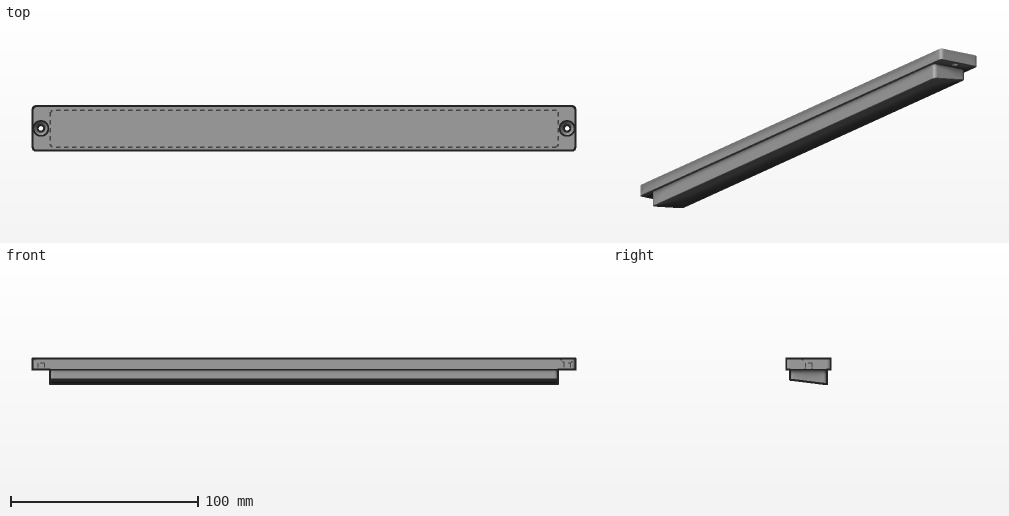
import cadquery as cq
import math

plate_length = 290.0
plate_width = 24.0
plate_thickness = 6.0
plate_corner_radius = 2.0
edge_chamfer = 0.25

total_height = 13.89
rib_end_inset = 9.25
rib_side_inset = 2.0
rib_length = plate_length - 2 * rib_end_inset
rib_width = plate_width - 2 * rib_side_inset
rib_corner_radius = 2.0
underside_angle = 7.0
underside_slope = math.tan(math.radians(underside_angle))
chamfer_trim = edge_chamfer * math.sin(math.radians(underside_angle))
rib_deep_side = total_height - plate_thickness + chamfer_trim
rib_shallow_side = rib_deep_side - rib_width * underside_slope

screw_hole_diameter = 3.33
countersink_diameter = 8.0
countersink_angle = 90.0
screw_end_distance = 4.5
screw_x = plate_length / 2 - screw_end_distance


def make_plate():
    """Rounded plate resting on the Z = 0 plane, chamfered around its top."""
    plate = cq.Workplane("XY").box(
        plate_length, plate_width, plate_thickness, centered=(True, True, False)
    )
    plate = plate.edges("|Z").fillet(plate_corner_radius)
    return plate.faces(">Z").edges().chamfer(edge_chamfer)


def make_rib():
    """Rib hanging below Z = 0, deepest along its +Y side, chamfered around its underside."""
    half_width = rib_width / 2
    profile = [
        (-half_width, 0),
        (half_width, 0),
        (half_width, -rib_deep_side),
        (-half_width, -rib_shallow_side),
    ]
    rib = cq.Workplane("YZ").polyline(profile).close().extrude(rib_length / 2, both=True)
    rib = rib.edges("|Z").fillet(rib_corner_radius)
    return rib.faces("<Z").edges().chamfer(edge_chamfer)


def drill_screw_holes(body):
    """Cut one countersunk through hole at each end of the plate."""
    hole_centers = [(-screw_x, 0), (screw_x, 0)]
    return (
        body.faces(">Z")
        .workplane(origin=(0, 0, plate_thickness))
        .pushPoints(hole_centers)
        .cskHole(screw_hole_diameter, countersink_diameter, countersink_angle)
    )


result = drill_screw_holes(make_plate().union(make_rib()))